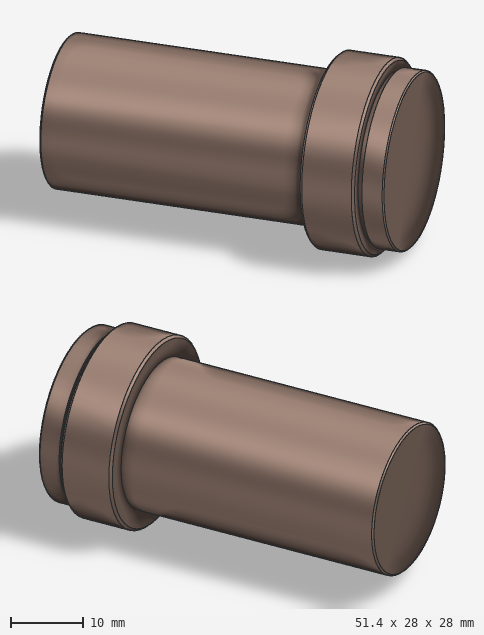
import cadquery as cq

total_length = 51.4
shank_length = 39.4
collar_length = 8.0
groove_width = 0.75

shank_diameter = 22.0
collar_diameter = 28.0
groove_diameter = 24.4
rim_diameter = 25.5

shank_chamfer = 0.25
collar_chamfer = 0.35
rim_chamfer = 0.2

rim_length = total_length - shank_length - collar_length - groove_width


def cylinder(start, length, diameter):
    """Solid cylinder along +X, starting at the given X position."""
    return cq.Workplane("YZ", origin=(start, 0, 0)).circle(diameter / 2).extrude(length)


shank = cylinder(0, shank_length, shank_diameter).faces("<X").chamfer(shank_chamfer)

collar_start = shank_length
collar = cylinder(collar_start, collar_length, collar_diameter).edges().chamfer(collar_chamfer)

groove_start = collar_start + collar_length
groove = cylinder(groove_start, groove_width, groove_diameter)

rim_start = groove_start + groove_width
rim = cylinder(rim_start, rim_length, rim_diameter).faces(">X").chamfer(rim_chamfer)

result = shank.union(collar).union(groove).union(rim)